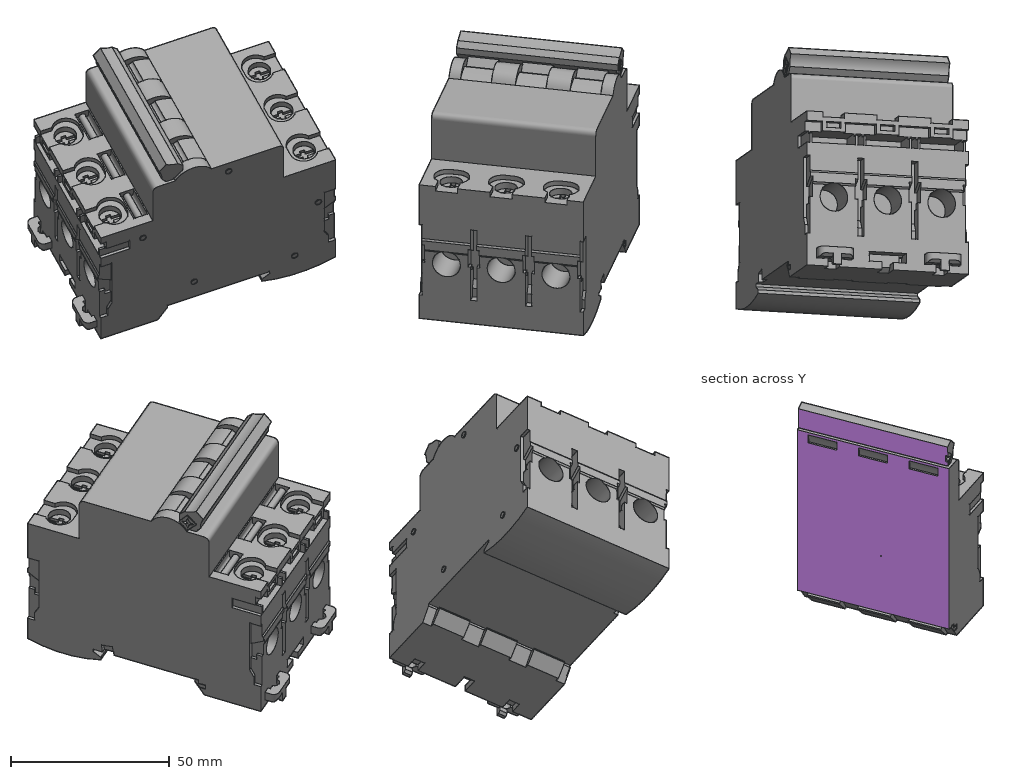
import math

import cadquery as cq


pole_count = 3
body_width = 53.0
body_depth = 80.6
total_height = 74.41
pole_pitch = body_width / pole_count
pole_centers = [(i + 0.5) * pole_pitch for i in range(pole_count)]
pole_joints = [i * pole_pitch for i in range(pole_count + 1)]
tab_poles = (pole_centers[0], pole_centers[-1])
middle_pole = pole_centers[1]

shoulder_height = 49.5
riser_height = 65.4
riser_setback = 17.85
riser_fillet = 1.9
foot_height = 1.9
foot_length = 25.3
rail_floor = 5.4
rail_front = 22.9
rail_rear = 57.9
rail_lip_height = 4.5
rail_hook_reach = 2.7
rail_hook_height = 3.0
front_foot_depth = 19.5

dome_y = 31.75
dome_radius = 7.3
dome_top = 68.85
dome_z = dome_top - dome_radius
window_width = 9.9
window_offset = 0.1
dome_half_width = math.sqrt(dome_radius**2 - (riser_height - dome_z) ** 2)
drum_crest_rise = 1.7
drum_radius = (dome_half_width**2 + drum_crest_rise**2) / (2 * drum_crest_rise)
drum_z = riser_height + drum_crest_rise - drum_radius
drum_step_y = 32.4
cove_end_y = 30.7
hub_radius = 4.75
arm_y = 27.1
arm_z = 66.5
arm_length = 8.0
arm_thickness = 2.0
arm_tilt = -45
lever_start = 0.55
lever_end = body_width - 0.35
boss_height = 0.25
star_depth = 0.6
star_y = 25.4
star_z = 68.8
star_tip = 1.9
star_waist = 0.6

screw_inset = 7.0
screw_radius = 3.55
screw_sink = 2.2
keyhole_inset = 7.75
keyhole_radius = 4.5
keyhole_width = 11.3
keyhole_depth = 1.6
channel_width = 7.1
slot_width = 1.55
cross_width = 3.5
slot_depth = 1.0
wire_hole_radius = 4.5
wire_hole_z = 22.3
wire_hole_depth = 12.0

groove_top = 46.5
groove_ceiling = 43.4
groove_bottom = 42.6
groove_depth = 1.9
block_width = 7.5
window_block_width = 4.65
window_block_bottom = 44.6
label_floor = 39.5
label_depth = 10.0
label_width = 14.3
slot_front = 12.7
slot_rear = 17.4
shoulder_slot_width = 11.2
shoulder_slot_depth = 3.2
bar_y = 15.1
bar_radius = 1.2
bar_rise = 1.0
ramp_height = 0.6

joint_width = 2.0
joint_top = 35.3
joint_bottom = 10.3
joint_depth = 3.9
joint_shallow_depth = 2.4
joint_slope_top = 16.0
joint_slope_bottom = 13.4
notch_width = 0.85
notch_front_top = 28.5
notch_rear_top = 26.0
notch_front_bottom = 22.1
notch_rear_bottom = 20.2
notch_step_depth = 1.9
ridge_height = 0.4
ridge_top = 30.5
ridge_bottom = 26.2
ridge_chamfer = 0.6

tab_reach = 4.1
tab_embed = 1.0
tab_width = 11.4
tab_top = 5.5
tab_bottom = 2.4
tab_corner = 2.0
tab_chamfer = 1.0
stem_width = 2.7
stem_back = 2.3
mouth_half_width = 3.3
mouth_step = 0.8
throat_half_width = 1.6
stem_chamfer = 0.8
stem_notch_width = 3.7
hook_root = front_foot_depth - 2.0
hook_toe = 20.7
hook_tip = 24.5
hook_tip_top = 4.3
front_pocket_depth = 0.2
clip_recess_width = 12.1
clip_recess_depth = 4.0
clip_pocket_width = 1.2
clip_pocket_depth = 1.5
clip_pocket_height = 2.1
stem_bevel = 1.5
rear_pocket_depth = 1.5

rivet_radius = 1.07
rivet_height = 0.35
rivet_embed = 1.0
rivet_positions = [(43.8, 61.6), (14.4, 42.9), (74.6, 31.8), (32.0, 13.05), (66.5, 9.4)]


def block(x0, x1, y0, y1, z0, z1):
    """Box between two opposite corners."""
    return cq.Workplane("XY").box(x1 - x0, y1 - y0, z1 - z0, centered=False).translate((x0, y0, z0))


def centered_block(x, width, y0, y1, z0, z1):
    """Box of the given width centred on x."""
    return block(x - width / 2, x + width / 2, y0, y1, z0, z1)


def prism(points, x0, x1):
    """(Y, Z) polygon extruded along X."""
    return cq.Workplane("YZ").polyline(points).close().extrude(x1 - x0).translate((x0, 0, 0))


def centered_prism(points, x, width):
    """(Y, Z) polygon extruded along X, centred on x."""
    return prism(points, x - width / 2, x + width / 2)


def cylinder_x(y, z, radius, x0, x1):
    """Cylinder along X."""
    return cq.Workplane("YZ").center(y, z).circle(radius).extrude(x1 - x0).translate((x0, 0, 0))


def to_rear(shape):
    """Counterpart of a front-end shape on the rear end."""
    return shape.mirror("XZ", (0, body_depth / 2, 0))


def housing():
    """Side profile across the full width, with the upper riser edges rounded."""
    foot_front = body_depth - foot_length
    shell = (
        cq.Workplane("YZ")
        .moveTo(0, 0)
        .lineTo(0, shoulder_height)
        .lineTo(riser_setback, shoulder_height)
        .lineTo(riser_setback, riser_height)
        .lineTo(body_depth - riser_setback, riser_height)
        .lineTo(body_depth - riser_setback, shoulder_height)
        .lineTo(body_depth, shoulder_height)
        .lineTo(body_depth, foot_height)
        .threePointArc((body_depth - foot_length / 2, 0), (foot_front, foot_height))
        .lineTo(foot_front, rail_hook_height)
        .lineTo(foot_front + rail_hook_reach, rail_lip_height)
        .lineTo(rail_rear, rail_floor)
        .lineTo(rail_front, rail_floor)
        .lineTo(rail_front, rail_lip_height)
        .lineTo(front_foot_depth, 0)
        .close()
        .extrude(body_width)
    )
    riser_edge_box = cq.selectors.BoxSelector(
        (0, 0, riser_height - riser_fillet), (body_width, body_depth, riser_height + riser_fillet)
    )
    return shell.edges("|X").edges(riser_edge_box).fillet(riser_fillet)


def toggle_dome():
    """Rounded hump over the toggles, across the whole width."""
    return cylinder_x(dome_y, dome_z, dome_radius, 0, body_width)


def dome_window(x):
    """Gap above the toggle drum, dropping through a cove to the hub on the lever side."""
    x0 = x + window_offset - window_width / 2
    x1 = x0 + window_width
    opening = cylinder_x(dome_y, dome_z, dome_radius, x0, x1)
    above_riser = block(x0, x1, dome_y - dome_radius, dome_y + dome_radius, riser_height, dome_top)
    shallow = opening.intersect(above_riser).cut(cylinder_x(dome_y, drum_z, drum_radius, x0, x1))
    front_half = block(x0, x1, dome_y - dome_radius, drum_step_y, dome_z, dome_top)
    cove_radius = drum_step_y - cove_end_y
    cove_floor = dome_z + hub_radius
    cove = block(x0, x1, cove_end_y, drum_step_y, dome_z, cove_floor + cove_radius)
    cove = cove.cut(cylinder_x(cove_end_y, cove_floor + cove_radius, cove_radius, x0, x1))
    hub = cylinder_x(dome_y, dome_z, hub_radius, x0, x1)
    return shallow.union(opening.intersect(front_half).cut(hub).cut(cove))


def lever():
    """Tie bar joining the toggles, with a star socket on its left end."""
    bar = (
        cq.Workplane("YZ")
        .moveTo(28.4, 69.2)
        .lineTo(28.4, 71.3)
        .lineTo(26.6, 73.0)
        .threePointArc((24.9, 73.35), (22.6, total_height))
        .lineTo(20.1, 71.9)
        .threePointArc((20.9, 70.2), (21.1, 68.0))
        .lineTo(22.5, 66.1)
        .lineTo(25.0, 66.1)
        .close()
        .extrude(lever_end - lever_start)
        .translate((lever_start, 0, 0))
    )
    boss_outline = [(25.6, 71.9), (22.4, 69.1), (25.6, 65.7), (28.4, 68.5)]
    boss_start = lever_start - boss_height
    bar = bar.union(prism(boss_outline, boss_start, lever_start + star_depth))
    star = [
        (star_y + star_tip, star_z), (star_y + star_waist, star_z + star_waist),
        (star_y, star_z + star_tip), (star_y - star_waist, star_z + star_waist),
        (star_y - star_tip, star_z), (star_y - star_waist, star_z - star_waist),
        (star_y, star_z - star_tip), (star_y + star_waist, star_z - star_waist),
    ]
    bar = bar.cut(prism(star, boss_start, lever_start + star_depth))
    for x in pole_centers:
        arm = cq.Workplane("XY").box(window_width, arm_length, arm_thickness)
        arm = arm.rotate((0, 0, 0), (1, 0, 0), arm_tilt).translate((x + window_offset, arm_y, arm_z))
        bar = bar.union(arm)
    return bar


def screw_recess(x):
    """Keyhole recess open to the front wall, screw well and cross slot."""
    top = shoulder_height
    floor = top - keyhole_depth
    head = floor - screw_sink
    recess = (
        cq.Workplane("XY", origin=(x, keyhole_inset, floor))
        .slot2D(keyhole_width, 2 * keyhole_radius)
        .extrude(keyhole_depth)
    )
    recess = recess.union(centered_block(x, channel_width, 0, keyhole_inset, floor, top))
    well = cq.Workplane("XY", origin=(x, screw_inset, head)).circle(screw_radius).extrude(screw_sink)
    long_slot = (
        cq.Workplane("XY", origin=(x, screw_inset, head - slot_depth))
        .rect(slot_width, 2 * screw_radius)
        .extrude(slot_depth)
    )
    short_slot = (
        cq.Workplane("XY", origin=(x, screw_inset, head - slot_depth))
        .rect(cross_width, slot_width)
        .extrude(slot_depth)
    )
    return recess.union(well).union(long_slot).union(short_slot)


def wire_hole(x):
    """Blind wire entry through the ridge of an end wall."""
    hole = cq.Workplane("XZ", origin=(x, -ridge_height, wire_hole_z)).circle(wire_hole_radius)
    return hole.extrude(-wire_hole_depth)


def shoulder_slot(x):
    """Slot behind the front screw with a raised half-round bar lying in it."""
    floor = shoulder_height - shoulder_slot_depth
    bar_z = floor + bar_rise
    bar_rear = bar_y + bar_radius
    bar_front = bar_y - bar_radius
    x0 = x - shoulder_slot_width / 2
    x1 = x0 + shoulder_slot_width
    bar = cylinder_x(bar_y, bar_z, bar_radius, x0, x1)
    bar_base = block(x0, x1, slot_front, bar_rear, floor, bar_z)
    ramp = prism([(slot_front, bar_z), (slot_front, bar_z + ramp_height), (bar_front, bar_z)], x0, x1)
    cove_radius = slot_rear - bar_rear
    cove = block(x0, x1, bar_rear, slot_rear, floor, floor + cove_radius)
    cove = cove.cut(cylinder_x(bar_rear, floor + cove_radius, cove_radius, x0, x1))
    slot = centered_block(x, shoulder_slot_width, slot_front, slot_rear, floor, shoulder_height)
    return slot.cut(bar).cut(bar_base).cut(ramp).cut(cove)


def label_groove():
    """Groove along the front wall, with windowed blocks left in its upper part."""
    groove = block(0, body_width, 0, groove_depth, groove_bottom, groove_top)
    for x in pole_centers:
        groove = groove.cut(centered_block(x, block_width, 0, groove_depth, groove_ceiling, groove_top))
        groove = groove.union(
            centered_block(x, window_block_width, 0, groove_depth, window_block_bottom, groove_top)
        )
        groove = groove.union(centered_block(x, label_width, 0, label_depth, label_floor, groove_ceiling))
    for x in pole_joints:
        groove = groove.union(centered_block(x, joint_width, 0, label_depth, label_floor, groove_ceiling))
    return groove


def ridges():
    """Shallow ridge across the front wall, later split by the joint channels."""
    outline = [
        (0, ridge_bottom), (-ridge_height, ridge_bottom + ridge_chamfer),
        (-ridge_height, ridge_top - ridge_chamfer), (0, ridge_top),
        (ridge_height, ridge_top), (ridge_height, ridge_bottom),
    ]
    return prism(outline, 0, body_width)


def joint_channel(x):
    """Stepped channel at a pole joint, widened by a notch in both neighbours."""
    channel = [
        (-ridge_height, joint_top), (joint_depth, joint_top), (joint_depth, joint_slope_top),
        (joint_shallow_depth, joint_slope_bottom), (joint_shallow_depth, joint_bottom),
        (-ridge_height, joint_bottom),
    ]
    notch = [
        (-ridge_height, notch_front_top), (joint_depth, notch_rear_top), (joint_depth, notch_rear_bottom),
        (notch_step_depth, notch_rear_bottom), (notch_step_depth, notch_front_bottom),
        (-ridge_height, notch_front_bottom),
    ]
    wide = joint_width + 2 * notch_width
    return centered_prism(channel, x, joint_width).union(centered_prism(notch, x, wide))


def clip_tab(x):
    """Pull tab of a rail clip, standing out of the front wall."""
    tab = centered_block(x, tab_width, -tab_reach, tab_embed, tab_bottom, tab_top)
    tab = tab.edges("|Z and <Y").fillet(tab_corner)
    wedge = [
        (-tab_reach, tab_bottom), (-tab_reach + tab_chamfer, tab_bottom),
        (-tab_reach, tab_bottom + tab_chamfer),
    ]
    tab = tab.cut(centered_prism(wedge, x, tab_width))
    mouth = (
        cq.Workplane("XY", origin=(x, 0, tab_bottom))
        .moveTo(-mouth_half_width, 0)
        .lineTo(-mouth_half_width, -mouth_step)
        .lineTo(-throat_half_width, -mouth_step)
        .threePointArc((0, -stem_back), (throat_half_width, -mouth_step))
        .lineTo(mouth_half_width, -mouth_step)
        .lineTo(mouth_half_width, 0)
        .close()
        .extrude(tab_top - tab_bottom)
    )
    stem = [
        (-stem_back, tab_top), (-tab_reach, tab_top), (-tab_reach, 0),
        (-stem_back - stem_chamfer, 0), (-stem_back, stem_chamfer),
    ]
    return tab.cut(mouth).union(centered_prism(stem, x, stem_width))


def clip_hook(x):
    """Inner end of a rail clip, reaching into the rail channel."""
    outline = [
        (hook_root, 0), (hook_toe, 0), (hook_tip, hook_tip - hook_toe), (hook_tip, hook_tip_top),
        (rail_front, rail_lip_height), (hook_root, rail_lip_height),
    ]
    return centered_prism(outline, x, tab_width)


def middle_clip_recess():
    """T-shaped opening of the retracted middle clip, with a small pocket at either end."""
    recess = centered_block(middle_pole, clip_recess_width, 0, clip_recess_depth, tab_bottom, tab_top)
    pocket_rear = clip_recess_depth + clip_pocket_depth
    pocket_z = (tab_bottom + tab_top - clip_pocket_height) / 2
    for side in (-1, 1):
        x = middle_pole + side * (clip_recess_width - clip_pocket_width) / 2
        recess = recess.union(
            centered_block(x, clip_pocket_width, 0, pocket_rear, pocket_z, pocket_z + clip_pocket_height)
        )
    bevel = [(clip_recess_depth, 0), (clip_recess_depth, stem_bevel), (clip_recess_depth + stem_bevel, 0)]
    return recess.union(stem_notch(middle_pole)).union(centered_prism(bevel, middle_pole, stem_notch_width))


def stem_notch(x):
    """Notch below a clip, open to the front wall and the underside."""
    return centered_block(x, stem_notch_width, 0, clip_recess_depth, 0, tab_bottom)


def side_pockets():
    """Small pockets in the left wall, one over each edge of the rail channel."""
    rear_pocket = [(55.1, 8.1), (51.3, 8.8), (50.7, rail_floor), (54.7, rail_floor)]
    front_pocket = [
        (rail_front, rail_floor), (21.6, rail_floor), (21.6, 4.0), (19.2, 4.0),
        (19.2, 2.5), (21.2, 2.5), (rail_front, rail_lip_height),
    ]
    return prism(rear_pocket, 0, rear_pocket_depth).union(prism(front_pocket, 0, front_pocket_depth))


def rivet(y, z):
    return cylinder_x(y, z, rivet_radius, body_width - rivet_embed, body_width + rivet_height)


body = housing().union(toggle_dome())
for center in pole_centers:
    body = body.cut(dome_window(center))
body = body.union(lever())

body = body.union(ridges()).union(to_rear(ridges()))
for center in pole_centers:
    for feature in (screw_recess(center), wire_hole(center)):
        body = body.cut(feature).cut(to_rear(feature))
    body = body.cut(shoulder_slot(center))

body = body.cut(label_groove())
for joint in pole_joints:
    channel = joint_channel(joint)
    body = body.cut(channel).cut(to_rear(channel))

for center in pole_centers:
    body = body.union(clip_hook(center))
body = body.cut(side_pockets()).cut(middle_clip_recess())
for center in tab_poles:
    body = body.cut(stem_notch(center)).union(clip_tab(center))

for rivet_y, rivet_z in rivet_positions:
    body = body.union(rivet(rivet_y, rivet_z))

result = body